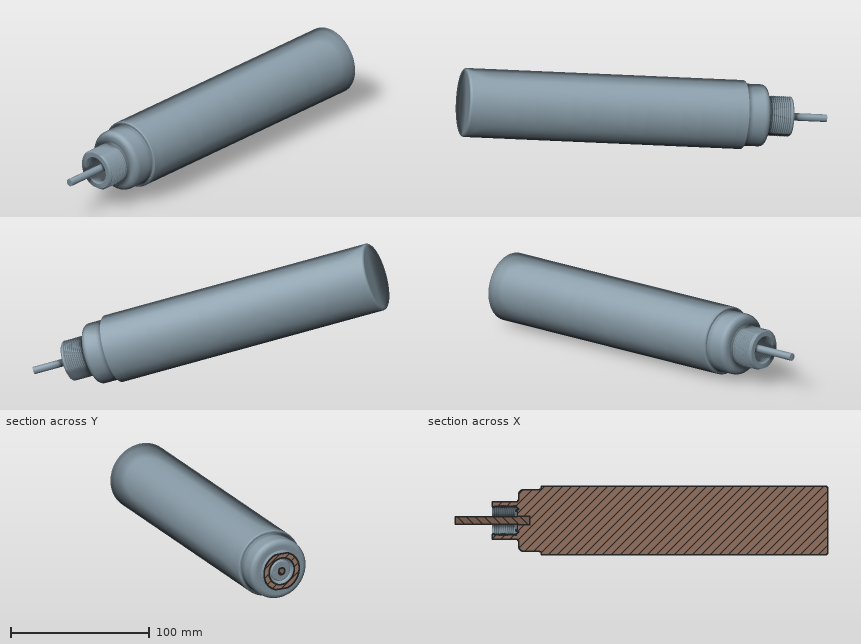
import cadquery as cq
import math

TOWER_RADIUS = 25.0
CAP_FILLET = 1.9
CAP_LENGTH = 8.2
LENS_COUNT = 5
LENS_LENGTH = 27.0
MODULE_PITCH = 40.85
BASE_RING_LENGTH = 9.1
SHOULDER_CHAMFER = 0.7

FOOT_RADIUS = 22.5
FOOT_LENGTH = 16.2
FOOT_COLLAR_LENGTH = 1.5
FOOT_COLLAR_STEP = 0.3
FOOT_FILLET = 4.0

STUB_LENGTH = 18.95
STUB_RADIUS = 15.0
THREAD_PITCH = 1.5
THREAD_DEPTH = 1.1
THREAD_CREST = THREAD_PITCH / 8
RELIEF_LENGTH = 2.1
RELIEF_CONE_LENGTH = 0.8
STUB_CHAMFER = 1.1
FLAT_HEIGHT = 13.65

BORE_CREST_RADIUS = 9.4
BORE_MOUTH_RADIUS = 10.3
BORE_CONE_LENGTH = 1.2
TRENCH_RADIUS = 8.3
GLAND_RADIUS = 7.8
GLAND_CHAMFER = 0.7
GLAND_HEIGHT = 2.0
SLIT_WIDTH = 0.8
SLIT_REACH = 6.5
SLIT_DEPTH = 1.0

CABLE_RADIUS = 2.75
OVERALL_LENGTH = 269.7
CABLE_EMBED = 10.0

LAST_LENS_Y = -(CAP_LENGTH + (LENS_COUNT - 1) * MODULE_PITCH + LENS_LENGTH)
SHOULDER_Y = LAST_LENS_Y - BASE_RING_LENGTH
FOOT_Y = SHOULDER_Y - FOOT_LENGTH
STUB_END_Y = FOOT_Y - STUB_LENGTH
GLAND_Y = FOOT_Y - GLAND_HEIGHT
STUB_ROOT_RADIUS = STUB_RADIUS - THREAD_DEPTH
CABLE_TOP_Y = GLAND_Y + CABLE_EMBED


def turned(outline):
    """Revolve a half profile drawn in the XY plane about the Y axis."""
    return outline.close().revolve(360, (0, 0, 0), (0, 1, 0), clean=False)


def make_tower():
    """Closed cylinder whose caps, lenses and bands are separate faces, ending in the filleted foot."""
    outline = (
        cq.Workplane("XY")
        .lineTo(TOWER_RADIUS - CAP_FILLET, 0)
        .radiusArc((TOWER_RADIUS, -CAP_FILLET), CAP_FILLET)
    )
    for index in range(LENS_COUNT):
        lens_start = -(CAP_LENGTH + index * MODULE_PITCH)
        outline = outline.lineTo(TOWER_RADIUS, lens_start)
        outline = outline.lineTo(TOWER_RADIUS, lens_start - LENS_LENGTH)
    outline = (
        outline.lineTo(TOWER_RADIUS, SHOULDER_Y + SHOULDER_CHAMFER)
        .lineTo(TOWER_RADIUS - SHOULDER_CHAMFER, SHOULDER_Y)
        .lineTo(FOOT_RADIUS + FOOT_COLLAR_STEP, SHOULDER_Y)
        .lineTo(FOOT_RADIUS, SHOULDER_Y - FOOT_COLLAR_LENGTH)
        .lineTo(FOOT_RADIUS, FOOT_Y + FOOT_FILLET)
        .radiusArc((FOOT_RADIUS - FOOT_FILLET, FOOT_Y), FOOT_FILLET)
        .lineTo(0, FOOT_Y)
    )
    return turned(outline)


def thread_grooves(crest_radius, root_radius, start_y, end_y):
    """Row of V-shaped ring grooves, open at the crest radius, that fills the span from start_y to end_y."""
    count = math.floor((start_y - end_y) / THREAD_PITCH)
    half_width = (THREAD_PITCH - THREAD_CREST) / 2
    grooves = cq.Workplane("XY")
    for index in range(count):
        middle_y = start_y - (index + 0.5) * THREAD_PITCH
        groove = turned(
            cq.Workplane("XY")
            .moveTo(crest_radius, middle_y + half_width)
            .lineTo(root_radius, middle_y)
            .lineTo(crest_radius, middle_y - half_width)
        )
        grooves = grooves.add(groove)
    return grooves.combine()


def make_stub():
    """Externally threaded stub with a relief next to the foot and two flats."""
    thread_start = FOOT_Y - RELIEF_LENGTH
    outline = (
        cq.Workplane("XY")
        .moveTo(0, FOOT_Y)
        .lineTo(STUB_RADIUS, FOOT_Y)
        .lineTo(STUB_ROOT_RADIUS, FOOT_Y - RELIEF_CONE_LENGTH)
        .lineTo(STUB_ROOT_RADIUS, thread_start)
        .lineTo(STUB_RADIUS, thread_start)
        .lineTo(STUB_RADIUS, STUB_END_Y + STUB_CHAMFER)
        .lineTo(STUB_RADIUS - STUB_CHAMFER, STUB_END_Y)
        .lineTo(0, STUB_END_Y)
    )
    thread_end = STUB_END_Y + STUB_CHAMFER
    stub = turned(outline).cut(thread_grooves(STUB_RADIUS, STUB_ROOT_RADIUS, thread_start, thread_end))
    flat_length = STUB_LENGTH - RELIEF_LENGTH
    for side in (-1, 1):
        offcut = cq.Workplane("XY").box(2 * STUB_RADIUS, flat_length, STUB_RADIUS)
        offcut_z = side * (FLAT_HEIGHT + STUB_RADIUS / 2)
        stub = stub.cut(offcut.translate((0, STUB_END_Y + flat_length / 2, offcut_z)))
    return stub


def make_bore():
    """Cutter for the internally threaded bore with the gland left standing on its floor."""
    trench_top = FOOT_Y - BORE_CONE_LENGTH
    mouth_depth = BORE_MOUTH_RADIUS - BORE_CREST_RADIUS
    outline = (
        cq.Workplane("XY")
        .moveTo(0, GLAND_Y)
        .lineTo(GLAND_RADIUS - GLAND_CHAMFER, GLAND_Y)
        .lineTo(GLAND_RADIUS, GLAND_Y + GLAND_CHAMFER)
        .lineTo(GLAND_RADIUS, FOOT_Y)
        .lineTo(TRENCH_RADIUS, FOOT_Y)
        .lineTo(BORE_CREST_RADIUS, trench_top)
        .lineTo(BORE_CREST_RADIUS, STUB_END_Y + mouth_depth)
        .lineTo(BORE_MOUTH_RADIUS, STUB_END_Y)
        .lineTo(0, STUB_END_Y)
    )
    bore_root_radius = BORE_CREST_RADIUS + THREAD_DEPTH
    thread_end = STUB_END_Y + mouth_depth
    grooves = thread_grooves(BORE_CREST_RADIUS, bore_root_radius, trench_top, thread_end)
    return turned(outline).union(grooves)


def make_slits():
    """Cross of two slits in the gland face."""
    slit = cq.Workplane("XY").box(2 * SLIT_REACH, SLIT_DEPTH, SLIT_WIDTH)
    slit = slit.translate((0, GLAND_Y + SLIT_DEPTH / 2, 0))
    return slit.union(slit.rotate((0, 0, 0), (0, 1, 0), 90))


def make_cable():
    """Round cable seated in the gland and running out to the free end."""
    outline = (
        cq.Workplane("XY")
        .moveTo(0, CABLE_TOP_Y)
        .lineTo(CABLE_RADIUS, CABLE_TOP_Y)
        .lineTo(CABLE_RADIUS, -OVERALL_LENGTH)
        .lineTo(0, -OVERALL_LENGTH)
    )
    return turned(outline)


cable = make_cable()

stub = make_stub().cut(make_bore())
housing = make_tower().union(stub, clean=False)
housing = housing.cut(make_slits(), clean=False)
housing = housing.cut(cable, clean=False)

result = cq.Compound.makeCompound([housing.solids().val(), cable.val()])